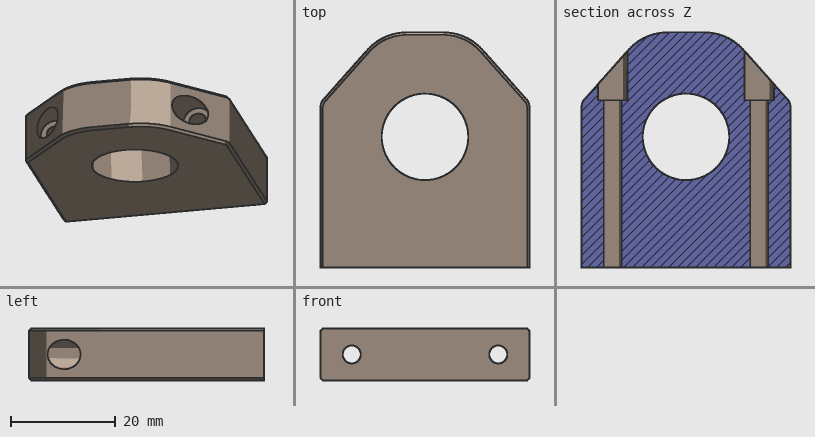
import cadquery as cq

width = 40.0
length = 45.0
thickness = 10.0
top_corner_x = 8.0
shoulder_drop = 13.5
top_corner_radius = 10.0
shoulder_radius = 2.0
edge_chamfer = 0.5

bore_diameter = 16.5
bore_y = 25.0

screw_spacing = 28.0
screw_diameter = 3.4
head_diameter = 5.6
head_seat_y = 32.0

half_width = width / 2
shoulder_y = length - shoulder_drop
mid_z = thickness / 2


def make_plate():
    """Plate with sloped, rounded shoulders; its base face lies on Y = 0."""
    outline = [
        (-half_width, 0),
        (half_width, 0),
        (half_width, shoulder_y),
        (top_corner_x, length),
        (-top_corner_x, length),
        (-half_width, shoulder_y),
    ]
    plate = cq.Workplane("XY").polyline(outline).close().extrude(thickness)
    far_corners = cq.selectors.BoxSelector(
        (-half_width, length - edge_chamfer, 0),
        (half_width, length + edge_chamfer, thickness),
    )
    shoulder_corners = cq.selectors.BoxSelector(
        (-width, shoulder_y - edge_chamfer, 0),
        (width, shoulder_y + edge_chamfer, thickness),
    )
    plate = plate.edges("|Z").edges(far_corners).fillet(top_corner_radius)
    plate = plate.edges("|Z").edges(shoulder_corners).fillet(shoulder_radius)

    return plate.faces("<Z or >Z").edges("not <Y").chamfer(edge_chamfer)


def cylinder_along_y(x, diameter, start_y, end_y):
    """Cylinder parallel to Y at mid thickness."""
    start = cq.Vector(x, start_y, mid_z)
    direction = cq.Vector(0, 1, 0)
    return cq.Workplane(cq.Solid.makeCylinder(diameter / 2, end_y - start_y, start, direction))


def cut_bore(body):
    """Large round bore through the thickness."""
    bore = cq.Workplane("XY").center(0, bore_y).circle(bore_diameter / 2).extrude(thickness)
    return body.cut(bore)


def cut_screw_holes(body):
    """Through holes from the base, counterbored from the sloped shoulders."""
    for x in (-screw_spacing / 2, screw_spacing / 2):
        body = body.cut(cylinder_along_y(x, screw_diameter, 0, length))
        body = body.cut(cylinder_along_y(x, head_diameter, head_seat_y, length))
    return body


result = cut_screw_holes(cut_bore(make_plate()))